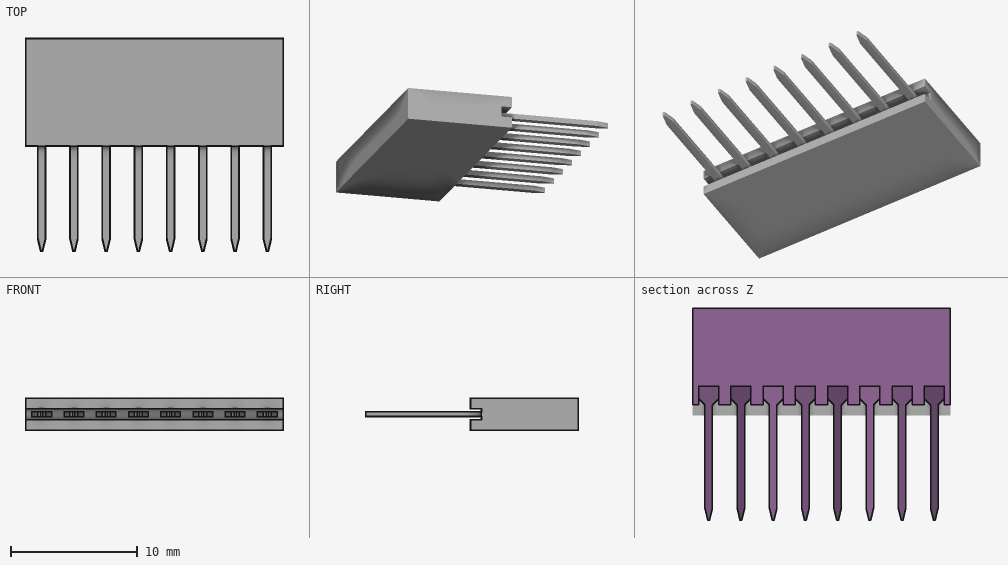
import cadquery as cq

pin_count = 8
pitch = 2.54

overall_depth = 16.76

housing_length = pin_count * pitch
housing_depth = 8.5
housing_height = pitch

groove_height = housing_height / 3
groove_depth = 0.85

pin_thickness = 0.4
pin_width = 0.64
pin_reach = overall_depth - housing_depth
tip_width = 0.16
tip_length = 1.0
root_width = 1.55
root_length = 1.0

shoulder_start_y = groove_depth
shoulder_end_y = shoulder_start_y + (root_width - pin_width) / 2
root_end_y = shoulder_end_y + root_length


def make_block(length, depth, height, front_y=0):
    """Block centred in X and Z that starts at front_y and runs toward +Y."""
    block = cq.Workplane("XY").box(length, depth, height, centered=(True, False, True))
    return block.translate((0, front_y, 0))


def make_housing(pin_places):
    """Block with the front groove and one rectangular socket per pin, open into the groove."""
    housing = make_block(housing_length, housing_depth, housing_height)
    housing = housing.cut(make_block(housing_length, groove_depth, groove_height))
    socket = make_block(root_width, root_end_y - groove_depth, pin_thickness, groove_depth)
    for x in pin_places:
        housing = housing.cut(socket.translate((x, 0, 0)))
    return housing


def make_pin(x):
    """One pin, symmetric about its own centre line along Y."""
    right_side = [
        (root_width / 2, root_end_y),
        (root_width / 2, shoulder_end_y),
        (pin_width / 2, shoulder_start_y),
        (pin_width / 2, tip_length - pin_reach),
        (tip_width / 2, -pin_reach),
    ]
    left_side = [(-side_x, side_y) for side_x, side_y in reversed(right_side)]
    return (
        cq.Workplane("XY")
        .polyline(right_side + left_side)
        .close()
        .extrude(pin_thickness / 2, both=True)
        .translate((x, 0, 0))
    )


pin_places = [(i - (pin_count - 1) / 2) * pitch for i in range(pin_count)]

housing = make_housing(pin_places)
pins = [make_pin(x) for x in pin_places]

result = cq.Compound.makeCompound([housing.solids().val(), *[pin.solids().val() for pin in pins]])